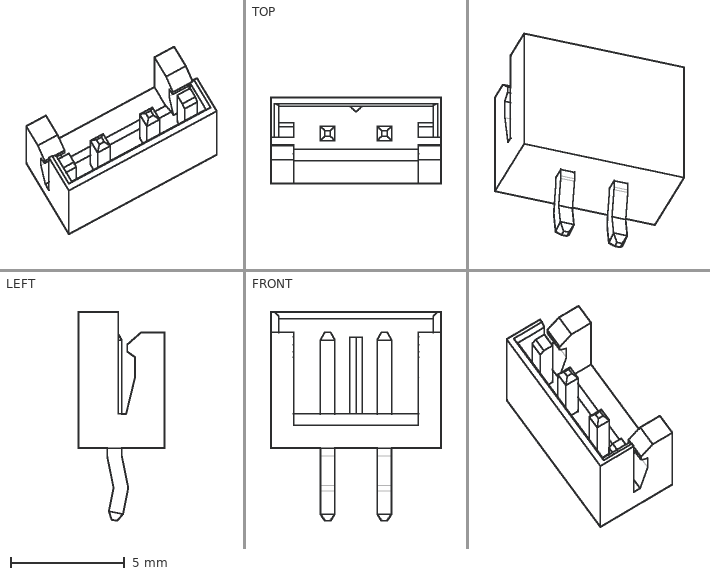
import cadquery as cq
import math


width = 7.5
depth = 3.8
total_height = 9.21
housing_height = 6.0
floor_top = 1.5

shroud_depth = 1.77
back_wall = 0.4
side_wall = 0.35
back_bevel_run = 0.12
back_bevel_drop = 0.31
side_bevel = 0.19
shroud_front = depth - shroud_depth
cavity_back = depth - back_wall
cavity_half_width = width / 2 - side_wall

arm_width = 1.0
arm_top = 5.09
arm_top_depth = 1.04
nose_depth = 1.66
nose_top = 4.55
nose_bottom = 4.25
neck_depth = 1.31
neck_top = 4.0
neck_bottom = 3.12
arm_root_depth = 1.7

window_width = width - 2 * arm_width
sill_top = 1.0
sill_depth = 1.0
slope_back = 1.52

post_depth = 0.65
post_bevel = 0.19
post_width = arm_width - side_wall

rib_width = 0.53
rib_projection = 0.25
rib_top = 4.88

pin_pitch = 2.5
pin_size = 0.645
pin_front = 1.89
pin_top = 5.1
tip_length = 0.35
tip_size = 0.25
tail_tilt = math.radians(11.5)
upper_bend_drop = 0.33
upper_leg_length = 1.33
tail_drop = total_height - housing_height
pin_center_y = pin_front + pin_size / 2
pin_centers_x = (-pin_pitch / 2, pin_pitch / 2)


def extrude_across(profile, length):
    """Extrude a closed YZ profile along X, centred on X = 0."""
    return profile.extrude(length / 2, both=True)


def shroud_cavity():
    """Space inside the shroud, flaring outward at its rim."""
    half = cavity_half_width
    across = (
        cq.Workplane("XZ")
        .polyline([
            (-half, floor_top),
            (half, floor_top),
            (half, housing_height - side_bevel),
            (half + side_bevel, housing_height),
            (-half - side_bevel, housing_height),
            (-half, housing_height - side_bevel),
        ])
        .close()
        .extrude(-depth)
    )
    along = (
        cq.Workplane("YZ")
        .polyline([
            (shroud_front, floor_top),
            (cavity_back, floor_top),
            (cavity_back, housing_height - back_bevel_drop),
            (cavity_back + back_bevel_run, housing_height),
            (shroud_front, housing_height),
        ])
        .close()
    )
    return across.intersect(extrude_across(along, width))


def latch_slot():
    """Full-width gap between shroud and arms, including the space above the arms."""
    profile = (
        cq.Workplane("YZ")
        .polyline([
            (shroud_front, floor_top),
            (shroud_front, housing_height),
            (0, housing_height),
            (0, arm_top),
            (arm_top_depth, arm_top),
            (nose_depth, nose_top),
            (nose_depth, nose_bottom),
            (neck_depth, neck_top),
            (neck_depth, neck_bottom),
            (arm_root_depth, floor_top),
        ])
        .close()
    )
    return extrude_across(profile, width)


def front_window():
    """Opening between the arms, down to the sill and the slope behind it."""
    profile = (
        cq.Workplane("YZ")
        .polyline([
            (0, sill_top),
            (sill_depth, sill_top),
            (slope_back, floor_top),
            (shroud_front, floor_top),
            (shroud_front, housing_height),
            (0, housing_height),
        ])
        .close()
    )
    return extrude_across(profile, window_width)


def guide_post(side):
    """Post against one side wall (side is -1 or 1), bevelled at its top rear edge."""
    post_back = shroud_front + post_depth
    post_center_x = side * (cavity_half_width - post_width / 2)
    profile = (
        cq.Workplane("YZ")
        .polyline([
            (shroud_front, floor_top),
            (post_back, floor_top),
            (post_back, arm_top - post_bevel),
            (post_back - post_bevel, arm_top),
            (shroud_front, arm_top),
        ])
        .close()
    )
    return extrude_across(profile, post_width).translate((post_center_x, 0, 0))


def keying_rib():
    """Triangular rib on the back wall, rising from the floor."""
    return (
        cq.Workplane("XY", origin=(0, 0, floor_top))
        .polyline([
            (-rib_width / 2, cavity_back),
            (0, cavity_back - rib_projection),
            (rib_width / 2, cavity_back),
        ])
        .close()
        .extrude(rib_top - floor_top)
    )


def make_housing():
    """Housing with a square hole through its floor for each pin."""
    body = cq.Workplane("XY").box(width, depth, housing_height, centered=(True, False, False))
    body = body.cut(shroud_cavity()).cut(latch_slot()).cut(front_window())
    for side in (-1, 1):
        body = body.union(guide_post(side))
    body = body.union(keying_rib())
    for x in pin_centers_x:
        hole = (
            cq.Workplane("XY", origin=(x, pin_center_y, 0))
            .rect(pin_size, pin_size)
            .extrude(floor_top)
        )
        body = body.cut(hole)
    return body


def pin_tip(base_plane):
    """Blunt four-sided point that grows along the normal of the given plane."""
    return (
        cq.Workplane(base_plane)
        .rect(pin_size, pin_size)
        .workplane(offset=tip_length)
        .rect(tip_size, tip_size)
        .loft(ruled=True)
    )


def make_pin(x):
    """Square pin whose tail leans forward, then back; each bend turns about its inner edge."""
    sine = math.sin(tail_tilt)
    cosine = math.cos(tail_tilt)
    shoulder = pin_top - tip_length

    upper_pivot = (pin_front, -upper_bend_drop)

    def behind_upper_pivot(angle):
        return (
            upper_pivot[0] + pin_size * math.cos(angle),
            upper_pivot[1] - pin_size * math.sin(angle),
        )

    leg_rear_start = behind_upper_pivot(tail_tilt)
    lower_pivot = (
        leg_rear_start[0] - upper_leg_length * sine,
        leg_rear_start[1] - upper_leg_length * cosine,
    )

    def ahead_of_lower_pivot(angle):
        return (
            lower_pivot[0] - pin_size * math.cos(angle),
            lower_pivot[1] - pin_size * math.sin(angle),
        )

    leg_front_start = ahead_of_lower_pivot(tail_tilt)
    front_rise = (pin_size - tip_size) / 2 * sine
    lower_leg_length = (tail_drop + leg_front_start[1] + front_rise) / cosine - tip_length
    leg_run = lower_leg_length * sine
    leg_drop = lower_leg_length * cosine
    front_end = (leg_front_start[0] + leg_run, leg_front_start[1] - leg_drop)
    rear_end = (lower_pivot[0] + leg_run, lower_pivot[1] - leg_drop)

    shank_profile = (
        cq.Workplane("YZ")
        .moveTo(pin_front, shoulder)
        .lineTo(*upper_pivot)
        .lineTo(*ahead_of_lower_pivot(-tail_tilt))
        .threePointArc(ahead_of_lower_pivot(0), leg_front_start)
        .lineTo(*front_end)
        .lineTo(*rear_end)
        .lineTo(*lower_pivot)
        .lineTo(*leg_rear_start)
        .threePointArc(behind_upper_pivot(tail_tilt / 2), behind_upper_pivot(0))
        .lineTo(pin_front + pin_size, shoulder)
        .close()
    )
    shank = extrude_across(shank_profile, pin_size)

    top_plane = cq.Plane(origin=(0, pin_center_y, shoulder))
    tail_plane = cq.Plane(
        origin=(0, (front_end[0] + rear_end[0]) / 2, (front_end[1] + rear_end[1]) / 2),
        xDir=(1, 0, 0),
        normal=(0, sine, -cosine),
    )
    pin = shank.union(pin_tip(top_plane)).union(pin_tip(tail_plane))
    return pin.translate((x, 0, 0))


housing = make_housing()
pins = [make_pin(x) for x in pin_centers_x]

result = cq.Compound.makeCompound([housing.val(), *[pin.val() for pin in pins]])